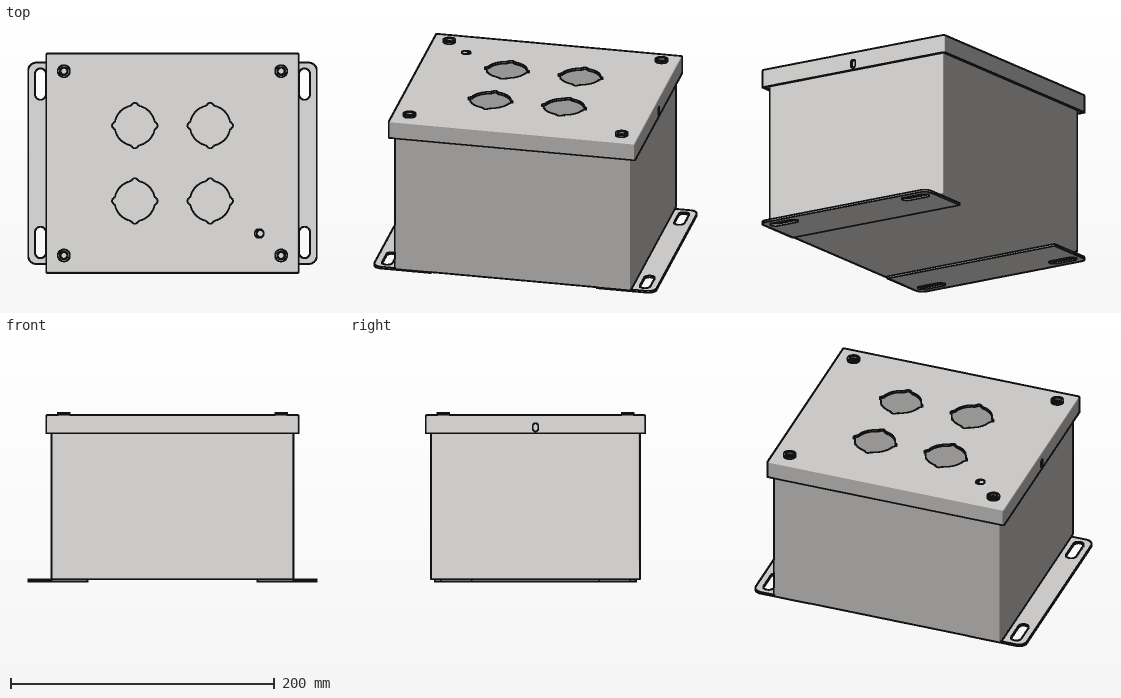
import cadquery as cq
import math

sheet = 1.65
bend_radius = 1.3

foot_span = 219.0
foot_length = 45.1
foot_width = 153.0
foot_corner_radius = 6.4
mount_slot_width = 8.0
mount_slot_length = 23.7
mount_slot_x = 100.1
mount_slot_y = 60.0

lid_length = 191.7
lid_width = 166.7
lid_height = 14.0
lid_overhang = 4.0
overall_height = 128.0
collar_height = 1.5
lid_top = overall_height - collar_height
lid_bottom = lid_top - lid_height
lid_underside = lid_top - sheet

box_length = lid_length - 2 * lid_overhang
box_width = lid_width - 2 * lid_overhang
box_bottom = sheet
box_height = lid_underside - box_bottom

collar_diameter = 9.2
collar_x = 82.4
collar_y = 69.9
socket_diameter = 6.1
socket_depth = 2.2
socket_bore_diameter = 5.0
socket_bore_depth = 2.6

button_pitch = 57.2
button_diameter = 30.7
notch_tip_radius = 2.2
notch_reach = 17.3

vent_width = 4.0
vent_height = 6.4
vent_drop = 9.5

stud_hole_diameter = 6.8
stud_hole_x = 65.7
stud_hole_y = -53.2
stud_diameter = 5.3
stud_x = stud_hole_x + (stud_hole_diameter - stud_diameter) / 2


def block(length, width, height, base):
    """A box centred on the Z axis, standing on height base."""
    return cq.Workplane("XY", origin=(0, 0, base)).rect(length, width).extrude(height)


def mirrored(x, y):
    """The four points placed symmetrically about both axes."""
    return [(i * x, j * y) for i in (-1, 1) for j in (-1, 1)]


def cylinders(points, diameter, base, height):
    """Equal upright cylinders standing on height base."""
    return cq.Workplane("XY", origin=(0, 0, base)).pushPoints(points).circle(diameter / 2).extrude(height)


def make_foot(side):
    """A flat foot plate with two rounded outer corners; side is -1 or +1 along X."""
    plate = block(foot_length, foot_width, sheet, 0)
    plate = plate.translate((side * (foot_span - foot_length) / 2, 0, 0))
    outer_end = ">X" if side > 0 else "<X"
    return plate.faces(outer_end).edges("|Z").fillet(foot_corner_radius)


def make_box():
    """Open-topped box with the two foot plates welded underneath."""
    shell = block(box_length, box_width, box_height, box_bottom)
    shell = shell.edges("|Z or <Z").fillet(bend_radius)
    cavity = block(box_length - 2 * sheet, box_width - 2 * sheet, box_height, box_bottom + sheet)
    box = shell.cut(cavity)
    for side in (-1, 1):
        box = box.union(make_foot(side))
    mount_slots = (
        cq.Workplane("XY")
        .pushPoints(mirrored(mount_slot_x, mount_slot_y))
        .slot2D(mount_slot_length, mount_slot_width, 90)
        .extrude(sheet)
    )
    return box.cut(mount_slots)


def button_cutter():
    """Round opening joined with a diagonal square whose rounded corners form the four notches."""
    corner_reach = notch_reach + notch_tip_radius * (math.sqrt(2) - 1)
    square_side = corner_reach * math.sqrt(2)
    square = block(square_side, square_side, sheet, lid_underside)
    square = square.edges("|Z").fillet(notch_tip_radius).rotate((0, 0, 0), (0, 0, 1), 45)
    return cylinders([(0, 0)], button_diameter, lid_underside, sheet).union(square)


def make_lid():
    """Folded lid with screw collars, button openings, vents and the stud hole."""
    lid = block(lid_length, lid_width, lid_height, lid_bottom)
    lid = lid.edges("|Z or >Z").fillet(bend_radius)
    cavity = block(lid_length - 2 * sheet, lid_width - 2 * sheet, lid_height - sheet, lid_bottom)
    lid = lid.cut(cavity)
    collars = mirrored(collar_x, collar_y)
    lid = lid.union(cylinders(collars, collar_diameter, lid_top, collar_height))
    for diameter, depth in ((socket_diameter, socket_depth), (socket_bore_diameter, socket_bore_depth)):
        lid = lid.cut(cylinders(collars, diameter, overall_height - depth, depth))
    for x, y in mirrored(button_pitch / 2, button_pitch / 2):
        lid = lid.cut(button_cutter().translate((x, y, 0)))
    vents = (
        cq.Workplane("YZ", origin=(-lid_length / 2, 0, lid_top - vent_drop))
        .slot2D(vent_height, vent_width, 90)
        .extrude(lid_length)
    )
    lid = lid.cut(vents)
    return lid.cut(cylinders([(stud_hole_x, stud_hole_y)], stud_hole_diameter, lid_underside, sheet))


def make_stud():
    """Plain pin, flush with both faces of the lid plate."""
    return cylinders([(stud_x, stud_hole_y)], stud_diameter, lid_underside, sheet)


box = make_box()
lid = make_lid()
stud = make_stud()
result = cq.Compound.makeCompound([box.val(), lid.val(), stud.val()])